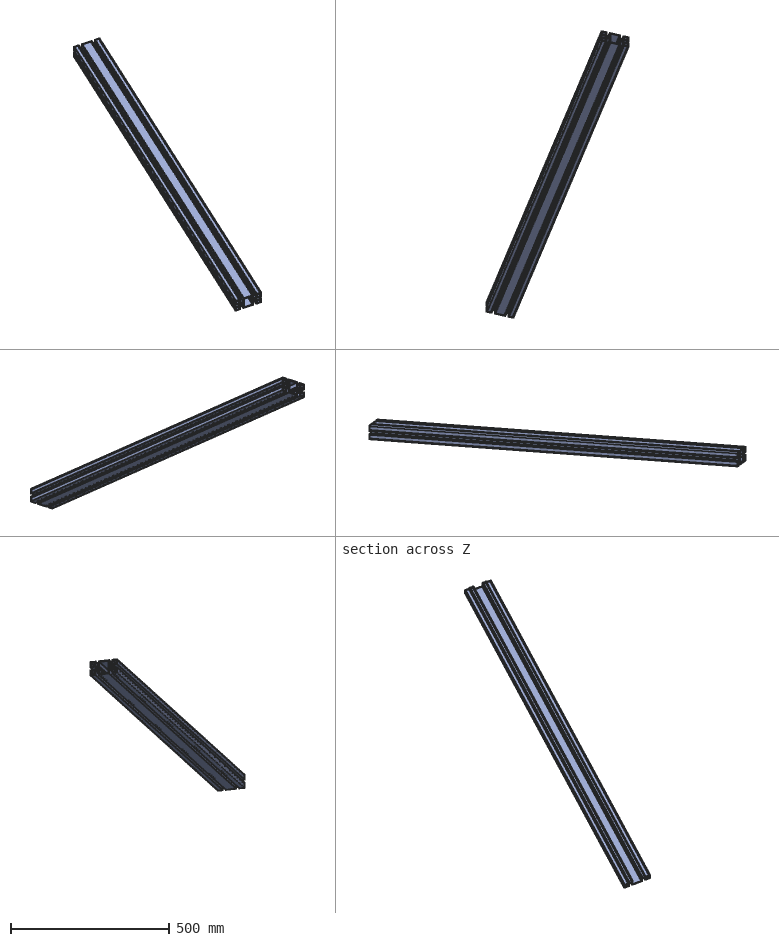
import cadquery as cq

length = 1219.0
width = 90.0
height = 45.0

corner_radius = 2.0
slot_width = 10.0
slot_depth = 16.0
wall = 3.2
bore_diameter = 9.0
waist_height = 7.0
waist_bulge = 1.8

slot_offset = width / 4
box_side = (height - slot_width) / 2
cavity_side = box_side - 2 * wall
cavity_y = (width - box_side) / 2
cavity_z = (height - box_side) / 2
chamber_width = 2 * (slot_offset - slot_width / 2 - wall)
chamber_height = height - 2 * wall
waist_width = chamber_width + 2 * waist_bulge


def bar(size_y, size_z, y=0.0, z=0.0):
    """Rectangular bar over the full length, centred at (y, z)."""
    return cq.Workplane("XY").box(length, size_y, size_z).translate((0, y, z))


def core_bore(y):
    """Round bar over the full length, centred at (y, 0)."""
    return cq.Workplane("YZ").center(y, 0).circle(bore_diameter / 2).extrude(length / 2, both=True)


body = bar(width, height).edges("|X").fillet(corner_radius)

for side in (-1, 1):
    body = body.cut(bar(slot_depth, slot_width, side * (width - slot_depth) / 2, 0))
    body = body.cut(core_bore(side * slot_offset))
    for level in (-1, 1):
        slot_z = level * (height - slot_depth) / 2
        body = body.cut(bar(slot_width, slot_depth, side * slot_offset, slot_z))
        body = body.cut(bar(cavity_side, cavity_side, side * cavity_y, level * cavity_z))

body = body.cut(bar(chamber_width, chamber_height))
body = body.cut(bar(waist_width, waist_height))

result = body